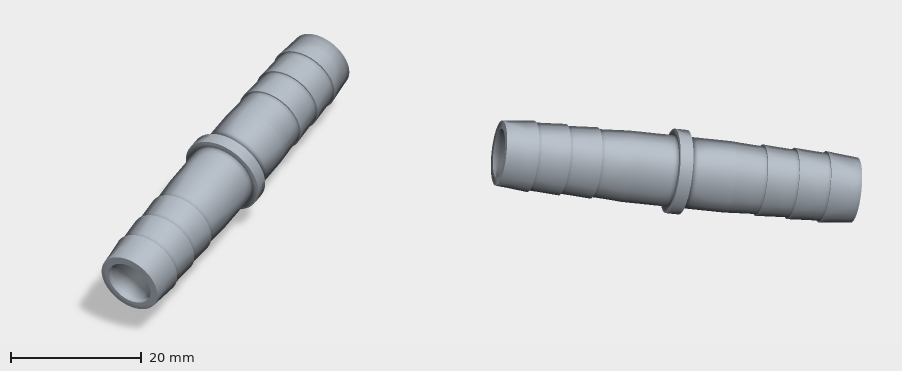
import cadquery as cq

total_length = 56.0
flange_diameter = 13.0
flange_width = 2.0
body_diameter = 11.0
bore_diameter = 7.5

barb_count = 4
barb_length = 5.0
tip_diameter = 10.0
root_diameter = 10.4
barb_diameter = 11.0

half_length = total_length / 2


def cylinder_along_y(diameter, length):
    """Cylinder on the Y axis, centred on the origin."""
    return cq.Workplane("XZ").circle(diameter / 2).extrude(length / 2, both=True)


def half_barrel():
    """Solid of revolution for the +Y half: plain body followed by the barbs."""
    outline = cq.Workplane("XY").lineTo(0, half_length)
    for index in range(barb_count):
        outer_y = half_length - index * barb_length
        small_diameter = tip_diameter if index == 0 else root_diameter
        outline = outline.lineTo(small_diameter / 2, outer_y)
        outline = outline.lineTo(barb_diameter / 2, outer_y - barb_length)
    outline = outline.lineTo(body_diameter / 2, 0)
    return outline.close().revolve(360, (0, 0, 0), (0, 1, 0))


barrel = half_barrel()
flange = cylinder_along_y(flange_diameter, flange_width)
bore = cylinder_along_y(bore_diameter, total_length)

result = barrel.union(barrel.mirror("XZ")).union(flange).cut(bore)